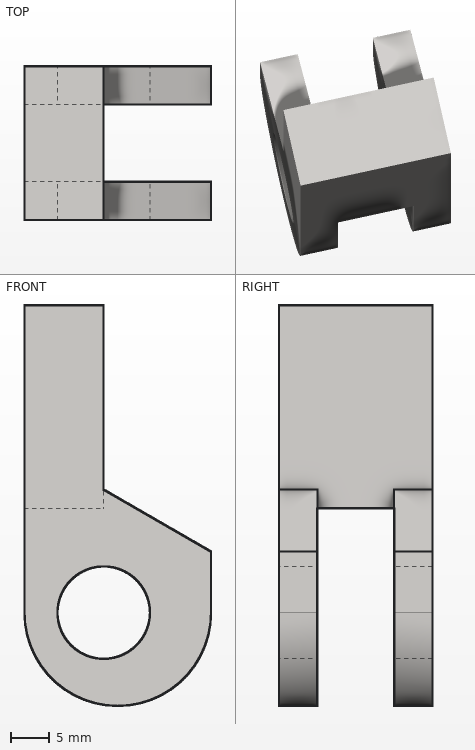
import cadquery as cq
import math

width = 24.3
depth = 20.0
height = 52.15

shank_width = 10.3
round_radius = width / 2
shoulder_height = 28.15
shoulder_slope = 30
shoulder_end_height = shoulder_height - (width - shank_width) * math.tan(math.radians(shoulder_slope))

hole_diameter = 12

gap_width = depth / 2
gap_height = 25.7


def block(x_start, x_end, z_top):
    """Box as wide as the gap, centred on Y, rising from Z = 0."""
    length = x_end - x_start
    box = cq.Workplane("XY").box(length, gap_width, z_top, centered=(False, True, False))
    return box.translate((x_start, 0, 0))


body = (
    cq.Workplane("XZ")
    .moveTo(0, height)
    .lineTo(shank_width, height)
    .lineTo(shank_width, shoulder_height)
    .lineTo(width, shoulder_end_height)
    .lineTo(width, round_radius)
    .threePointArc((width / 2, 0), (0, round_radius))
    .close()
    .extrude(depth / 2, both=True)
)

pin_hole = (
    cq.Workplane("XZ")
    .center(shank_width, round_radius)
    .circle(hole_diameter / 2)
    .extrude(depth / 2, both=True)
)

gap_under_shank = block(0, shank_width, gap_height)
gap_beside_shank = block(shank_width, width, height)

result = body.cut(pin_hole).cut(gap_under_shank).cut(gap_beside_shank)